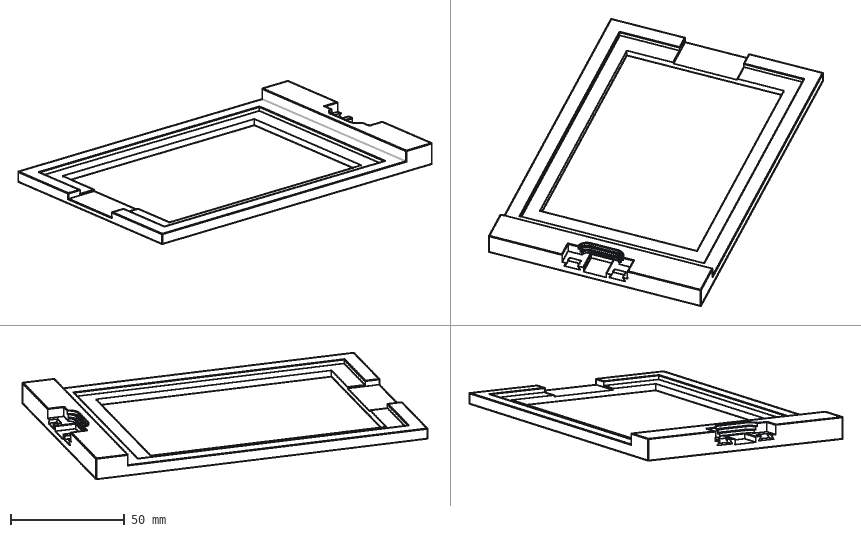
import cadquery as cq
import math

FRAME_WIDTH = 100.0
FRAME_LENGTH = 155.0
FRAME_THICKNESS = 5.0
HEAD_DEPTH = 15.0
HEAD_HEIGHT = 10.0
EDGE_BREAK = 0.25

SEAT_WIDTH = 86.6
SEAT_LENGTH = 126.2
SEAT_FLOOR = 3.0
WINDOW_WIDTH = 74.0
WINDOW_LENGTH = 110.0

SLOT_WIDTH = 30.0
SLOT_FLOOR = 2.35

POCKET_WIDTH = 30.8
POCKET_DEPTH = 7.5
POCKET_FLOOR = 5.5

THROAT_WIDTH = 17.7
THROAT_DEPTH = 9.5
THROAT_CORNER = 2.5
THROAT_STEPS = 3
THROAT_STEP_GROWTH = 0.85
THROAT_STEP_HEIGHT = (HEAD_HEIGHT - POCKET_FLOOR) / THROAT_STEPS

CHANNEL_WIDTH = 10.6
CHANNEL_FLOOR = 3.0

GROOVE_MOUTH = 5.2
GROOVE_LENGTH = 3.8
GROOVE_DEPTH = 2.0
GROOVE_SIDE_LEAN = 30.0
GROOVE_OFFSET = 10.6

BACK = FRAME_LENGTH / 2
FRONT = -BACK
HEAD_FRONT = BACK - HEAD_DEPTH
SEAT_CENTRE = (FRONT + HEAD_FRONT) / 2
SEAT_FRONT = SEAT_CENTRE - SEAT_LENGTH / 2
SEAT_BACK = SEAT_CENTRE + SEAT_LENGTH / 2
WINDOW_FRONT = SEAT_CENTRE - WINDOW_LENGTH / 2
WINDOW_BACK = SEAT_CENTRE + WINDOW_LENGTH / 2

SELECT_MARGIN = 0.05
RIM_SLACK = 0.001


def block(width, front, back, bottom, top):
    """Block centred on X, given by its Y and Z limits."""
    base = cq.Workplane("XY", origin=(0, (front + back) / 2, bottom))
    return base.rect(width, back - front).extrude(top - bottom)


def centres_within(width, front, back, bottom, top):
    """Selector for objects whose centres lie in a box centred on X."""
    reach = width / 2 + SELECT_MARGIN
    return cq.selectors.BoxSelector(
        (-reach, front - SELECT_MARGIN, bottom - SELECT_MARGIN),
        (reach, back + SELECT_MARGIN, top + SELECT_MARGIN),
    )


def sharp_frame():
    """Low frame and raised head with the seat, window and front slot cut out."""
    low_part = block(FRAME_WIDTH, FRONT, BACK, 0, FRAME_THICKNESS)
    head = block(FRAME_WIDTH, HEAD_FRONT, BACK, 0, HEAD_HEIGHT)
    seat = block(SEAT_WIDTH, SEAT_FRONT, SEAT_BACK, SEAT_FLOOR, FRAME_THICKNESS)
    window = block(WINDOW_WIDTH, WINDOW_FRONT, WINDOW_BACK, 0, FRAME_THICKNESS)
    slot = block(SLOT_WIDTH, FRONT, WINDOW_FRONT, SLOT_FLOOR, FRAME_THICKNESS)
    return low_part.union(head).cut(seat).cut(window).cut(slot)


def break_edges(body):
    """Chamfer the outer edges and the rims of seat and slot, and fillet the foot of the head."""
    foot = centres_within(FRAME_WIDTH, HEAD_FRONT, HEAD_FRONT, FRAME_THICKNESS, FRAME_THICKNESS)
    low_top = centres_within(FRAME_WIDTH, FRONT, BACK, FRAME_THICKNESS, FRAME_THICKNESS)
    outer_faces = cq.StringSyntaxSelector(">Z or <X or >X or <Y or >Y")
    slot_rim = centres_within(SLOT_WIDTH, SEAT_FRONT, WINDOW_FRONT, SEAT_FLOOR, SEAT_FLOOR)

    outer_edges = body.faces(outer_faces + low_top).edges(cq.selectors.InverseSelector(foot))
    slot_edges = body.edges("|Y").edges(slot_rim)
    body = outer_edges.add(slot_edges).chamfer(EDGE_BREAK)
    return body.edges(foot).fillet(EDGE_BREAK)


def back_recess(width, depth, floor, rim, corner=0.0):
    """Cutter for a recess open at the back, with a chamfered rim and rounded inner corners."""
    well = block(width, BACK - depth, BACK + depth, floor, rim)
    rim_depth = depth + EDGE_BREAK
    flare = block(width + 2 * EDGE_BREAK, BACK - rim_depth, BACK + rim_depth, rim - EDGE_BREAK, rim)
    if corner > 0:
        well = well.edges("|Z").fillet(corner)
        flare = flare.edges("|Z").fillet(corner + EDGE_BREAK)
    flare = flare.faces("<Z").edges().chamfer(EDGE_BREAK - RIM_SLACK)
    return well.union(flare)


def cut_pocket(body):
    """Cut the wide pocket, the stepped throat in front of it and the channel below them."""
    body = body.cut(back_recess(POCKET_WIDTH, POCKET_DEPTH, POCKET_FLOOR, HEAD_HEIGHT))
    for step in range(THROAT_STEPS):
        growth = step * THROAT_STEP_GROWTH
        floor = POCKET_FLOOR + step * THROAT_STEP_HEIGHT
        body = body.cut(
            back_recess(
                THROAT_WIDTH + 2 * growth,
                THROAT_DEPTH + growth,
                floor,
                floor + THROAT_STEP_HEIGHT,
                THROAT_CORNER + growth,
            )
        )
    return body.cut(back_recess(CHANNEL_WIDTH, THROAT_DEPTH, CHANNEL_FLOOR, POCKET_FLOOR))


def dovetail_groove(x):
    """Cutter for one groove, running forward from the back face."""
    top = GROOVE_MOUTH / 2
    bottom = top + GROOVE_DEPTH * math.tan(math.radians(GROOVE_SIDE_LEAN))
    outline = [(-top, 0), (top, 0), (bottom, -GROOVE_DEPTH), (-bottom, -GROOVE_DEPTH)]
    section = cq.Workplane("XZ", origin=(x, BACK, POCKET_FLOOR)).polyline(outline).close()
    return section.extrude(GROOVE_LENGTH)


result = cut_pocket(break_edges(sharp_frame()))
for groove_x in (-GROOVE_OFFSET, GROOVE_OFFSET):
    result = result.cut(dovetail_groove(groove_x))